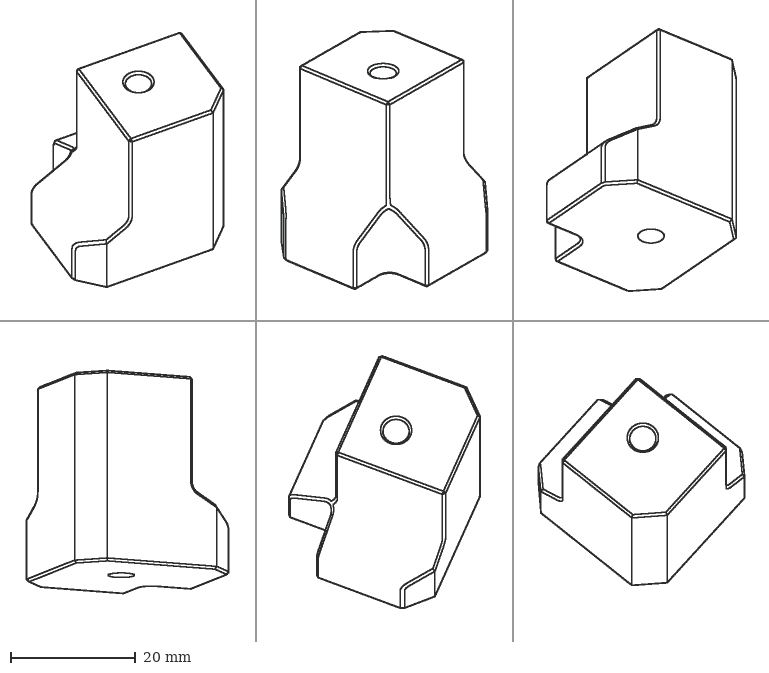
import cadquery as cq
import math

height = 31.0
column_side = 19.0
arm_length = 8.17
far_face = 11.5
column_face = far_face - column_side
arm_end = column_face - arm_length
overall_side = far_face - arm_end

roof_slope = math.radians(30)
blend_radius = 2.0
blend_tangent = blend_radius * math.tan((math.pi / 2 - roof_slope) / 2)
roof_tangent_z = 14.0
roof_top_z = roof_tangent_z - blend_tangent
roof_bottom_z = roof_top_z - arm_length * math.tan(roof_slope)

corner_cut = 4.0
edge_chamfer = 0.4
hole_diameter = 4.2
hole_mouth_angle = 90.0

tolerance = 1e-4
smooth_limit = 1e-3


def roofed_prism(plane, direction):
    """Column and sloped arm outline, extruded over the whole width of the part.

    The direction is the sign that makes the plane's normal point along +X or +Y.
    """
    run = blend_tangent * math.cos(roof_slope)
    rise = blend_tangent * math.sin(roof_slope)
    return (
        cq.Workplane(plane)
        .workplane(offset=direction * arm_end)
        .moveTo(far_face, 0)
        .lineTo(far_face, height)
        .lineTo(column_face, height)
        .lineTo(column_face, roof_tangent_z)
        .tangentArcPoint((column_face - run, roof_top_z - rise), relative=False)
        .lineTo(arm_end + run, roof_bottom_z + rise)
        .tangentArcPoint((arm_end, roof_bottom_z - blend_tangent), relative=False)
        .lineTo(arm_end, 0)
        .close()
        .extrude(direction * overall_side)
    )


def notch():
    """Square space between the arms, with a rounded inner corner."""
    center = (arm_end + column_face) / 2
    return (
        cq.Workplane("XY")
        .center(center, center)
        .rect(arm_length, arm_length)
        .extrude(height)
        .edges("|Z and >X and >Y")
        .fillet(blend_radius)
    )


def corner_wedge(x, y):
    """Triangular prism that takes a 45 degree cut off the outer corner at (x, y)."""
    step_x = -math.copysign(corner_cut, x)
    step_y = -math.copysign(corner_cut, y)
    return (
        cq.Workplane("XY")
        .polyline([(x, y), (x + step_x, y), (x, y + step_y)])
        .close()
        .extrude(height)
    )


def on_far_corner(edge):
    """True for the upright edges where a corner cut meets the +X or +Y face; these stay sharp."""
    box = edge.BoundingBox()
    middle = edge.Center()
    upright = max(box.xlen, box.ylen) < tolerance
    on_far_face = abs(max(middle.x, middle.y) - far_face) < tolerance
    on_column_face = abs(min(middle.x, middle.y) - column_face) < tolerance
    return upright and on_far_face and not on_column_face


def is_smooth(edge, faces):
    """True where the two faces that share an edge run into each other tangentially."""
    middle = edge.positionAt(0.5)
    first, second = [face for face in faces if any(other.isSame(edge) for other in face.Edges())]
    return first.normalAt(middle).dot(second.normalAt(middle)) > 1 - smooth_limit


def break_edges(solid):
    """Chamfer every edge except smooth transitions and the sharp far corners."""
    faces = solid.faces().vals()
    edges = [
        edge for edge in solid.edges().vals()
        if not is_smooth(edge, faces) and not on_far_corner(edge)
    ]
    return solid.newObject(edges).chamfer(edge_chamfer)


body = roofed_prism("XZ", -1).intersect(roofed_prism("YZ", 1))
body = body.cut(notch())
for corner_x, corner_y in ((far_face, far_face), (far_face, arm_end), (arm_end, far_face)):
    body = body.cut(corner_wedge(corner_x, corner_y))
body = break_edges(body)

mouth_diameter = hole_diameter + 2 * edge_chamfer
result = (
    body.faces(">Z")
    .workplane(origin=(0, 0, height))
    .cskHole(hole_diameter, mouth_diameter, hole_mouth_angle)
)